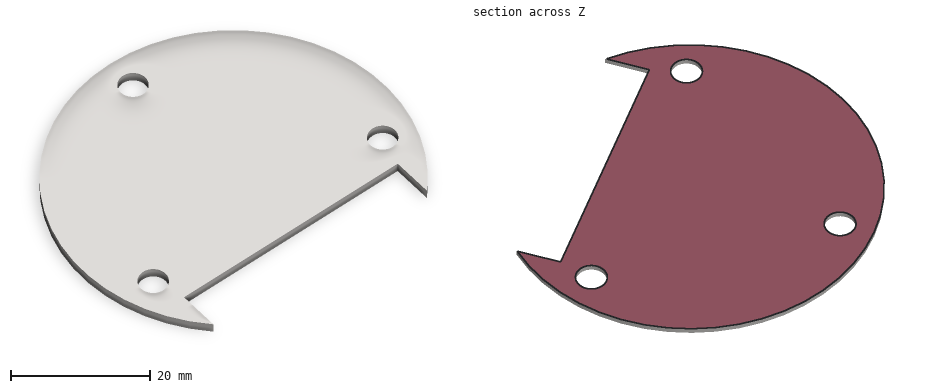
import cadquery as cq

disc_diameter = 55.8
thickness = 1.6
notch_width = 39.75
notch_floor_x = 12.95
hole_diameter = 4.5
hole_circle_radius = 22.7
hole_angles = (-70, 70, 180)

disc = cq.Workplane("XY").circle(disc_diameter / 2).extrude(thickness)

notch_length = disc_diameter / 2 - notch_floor_x
notch = (
    cq.Workplane("XY")
    .center(notch_floor_x + notch_length / 2, 0)
    .rect(notch_length, notch_width)
    .extrude(thickness)
)

hole = (
    cq.Workplane("XY")
    .center(hole_circle_radius, 0)
    .circle(hole_diameter / 2)
    .extrude(thickness)
)

result = disc.cut(notch)
for angle in hole_angles:
    result = result.cut(hole.rotate((0, 0, 0), (0, 0, 1), angle))